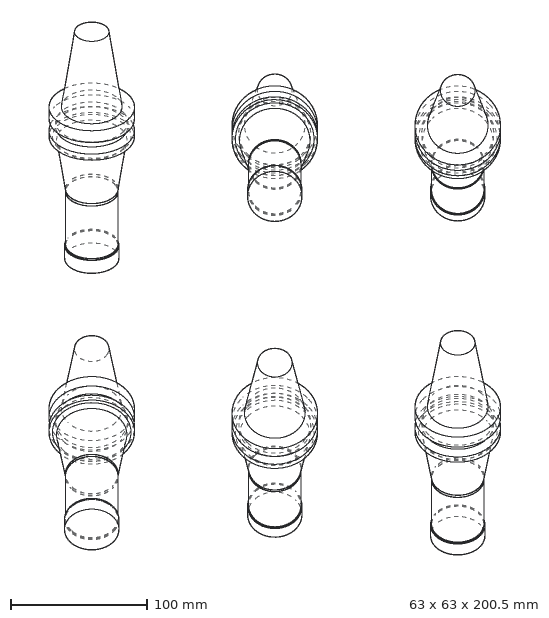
import cadquery as cq

length = 200.5

taper_tip_diameter = 25.5
taper_gauge_diameter = 44.5
flange_diameter = 63.0
groove_diameter = 53.0
flange_underside_diameter = 57.7
cone_top_diameter = 51.7
shank_diameter = 38.9
neck_diameter = 38.5
nut_diameter = 40.0

taper_length = 65.3
gauge_land = 1.2
upper_flange_rim = 10.5
groove_wall_height = 3.0
groove_floor_height = 4.2
lower_flange_rim = 5.5
underside_chamfer_height = 3.0
cone_length = 43.5
upper_neck_height = 2.2
lower_neck_height = 1.2
nut_height = 11.5

taper_base_z = length - taper_length
flange_top_z = taper_base_z - gauge_land
groove_top_z = flange_top_z - upper_flange_rim
groove_floor_top_z = groove_top_z - groove_wall_height
groove_floor_bottom_z = groove_floor_top_z - groove_floor_height
groove_bottom_z = groove_floor_bottom_z - groove_wall_height
flange_bottom_z = groove_bottom_z - lower_flange_rim
cone_top_z = flange_bottom_z - underside_chamfer_height
cone_bottom_z = cone_top_z - cone_length
shank_top_z = cone_bottom_z - upper_neck_height
shank_bottom_z = nut_height + lower_neck_height

profile = [
    (taper_tip_diameter, length),
    (taper_gauge_diameter, taper_base_z),
    (taper_gauge_diameter, flange_top_z),
    (flange_diameter, flange_top_z),
    (flange_diameter, groove_top_z),
    (groove_diameter, groove_floor_top_z),
    (groove_diameter, groove_floor_bottom_z),
    (flange_diameter, groove_bottom_z),
    (flange_diameter, flange_bottom_z),
    (flange_underside_diameter, flange_bottom_z),
    (cone_top_diameter, cone_top_z),
    (shank_diameter, cone_bottom_z),
    (neck_diameter, cone_bottom_z),
    (neck_diameter, shank_top_z),
    (shank_diameter, shank_top_z),
    (shank_diameter, shank_bottom_z),
    (neck_diameter, shank_bottom_z),
    (neck_diameter, nut_height),
    (nut_diameter, nut_height),
    (nut_diameter, 0),
]

half_section = [(0, length)]
half_section += [(diameter / 2, z) for diameter, z in profile]
half_section += [(0, 0)]
result = (
    cq.Workplane("XZ")
    .polyline(half_section)
    .close()
    .revolve(360, (0, 0, 0), (0, 1, 0))
)